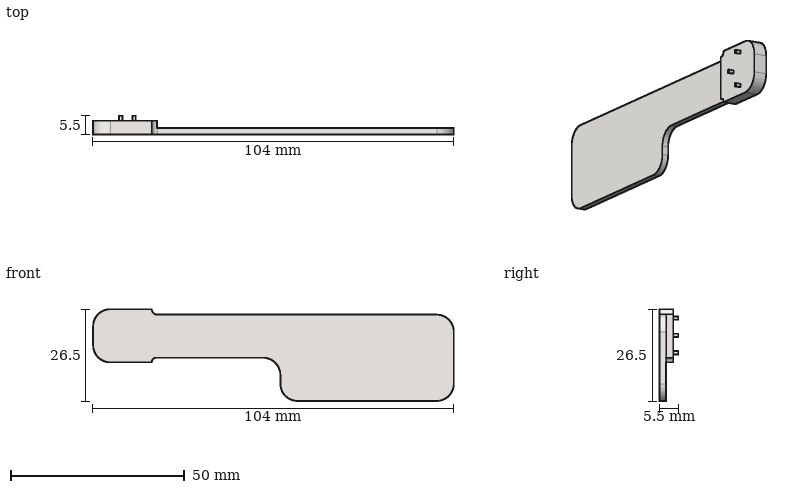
import cadquery as cq

length = 104.0
height = 26.5
total_depth = 5.5

plate_thickness = 2.0
corner_radius = 5.0
blade_start = 54.0
arm_top = height - 1.6
arm_bottom = height - 14.0

head_thickness = 4.1
head_length = 17.0
head_height = 15.4
head_bottom = height - head_height
top_blend_radius = height - arm_top
bottom_blend_radius = arm_bottom - head_bottom

pin_diameter = 1.0
pin_pitch = 5.0
outer_pin_x = 8.0
middle_pin_x = 11.9
middle_pin_z = height - 7.6


def extrude_back(sketch, depth):
    """Extrude an XZ sketch toward +Y."""
    return sketch.extrude(-depth)


def make_plate():
    """Arm and blade, with every blade corner rounded, including the inner one."""
    outline = (
        cq.Workplane("XZ")
        .moveTo(head_length, arm_top)
        .lineTo(length, arm_top)
        .lineTo(length, 0)
        .lineTo(blade_start, 0)
        .lineTo(blade_start, arm_bottom)
        .lineTo(head_length, arm_bottom)
        .close()
    )
    plate = extrude_back(outline, plate_thickness)
    blade_region = cq.selectors.BoxSelector(
        (head_length + corner_radius, -total_depth, -height),
        (2 * length, total_depth, 2 * height),
    )
    return plate.edges("|Y").edges(blade_region).fillet(corner_radius)


def make_head():
    """Rounded block whose right end flares concavely into the arm."""
    outline = (
        cq.Workplane("XZ")
        .moveTo(corner_radius, height)
        .lineTo(head_length, height)
        .radiusArc((head_length + top_blend_radius, arm_top), -top_blend_radius)
        .lineTo(head_length + top_blend_radius, arm_bottom)
        .lineTo(head_length + bottom_blend_radius, arm_bottom)
        .radiusArc((head_length, head_bottom), -bottom_blend_radius)
        .lineTo(corner_radius, head_bottom)
        .radiusArc((0, head_bottom + corner_radius), corner_radius)
        .lineTo(0, height - corner_radius)
        .radiusArc((corner_radius, height), corner_radius)
        .close()
    )
    return extrude_back(outline, head_thickness)


def make_pins():
    """Three staggered pins standing on the back face of the head."""
    centers = [
        (outer_pin_x, middle_pin_z + pin_pitch),
        (middle_pin_x, middle_pin_z),
        (outer_pin_x, middle_pin_z - pin_pitch),
    ]
    circles = cq.Workplane("XZ", origin=(0, head_thickness, 0)).pushPoints(centers).circle(pin_diameter / 2)
    return extrude_back(circles, total_depth - head_thickness)


result = make_plate().union(make_head()).union(make_pins())